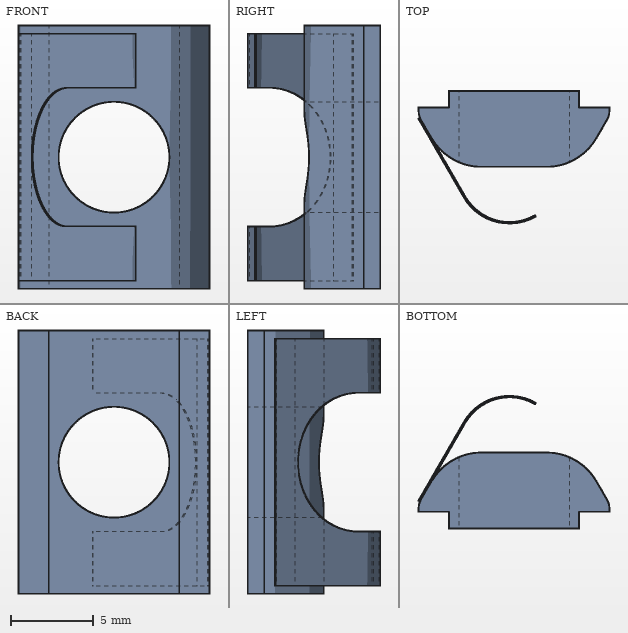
import cadquery as cq
import math

length = 16.0
width = 11.6
body_depth = 4.62
neck_width = 7.9
neck_depth = 1.0
flank_start = 1.5
side_radius = 1.0
nose_radius = 3.5
hole_diameter = 6.72

spring_height = 15.0
spring_thickness = 0.1
bend_radius = 3.2
total_depth = 8.06
cutout_radius = 4.2
cutout_reach = 5.0

flank_angle = math.radians(30)
flank_sin = math.sin(flank_angle)
flank_cos = math.cos(flank_angle)
flank_tan = math.tan(flank_angle)
half_width = width / 2


def make_body():
    nose_half = half_width - (body_depth - flank_start) * flank_tan
    profile = (
        cq.Workplane("XY")
        .moveTo(-half_width, -neck_depth)
        .lineTo(-half_width, -flank_start)
        .lineTo(-nose_half, -body_depth)
        .lineTo(nose_half, -body_depth)
        .lineTo(half_width, -flank_start)
        .lineTo(half_width, -neck_depth)
        .close()
        .extrude(length)
    )
    profile = profile.faces("<Y").edges("|Z").fillet(nose_radius)
    corner_size = 0.16
    for side in (-1, 1):
        near_corner = cq.selectors.BoxSelector(
            (side * half_width - corner_size, -flank_start - corner_size, 0),
            (side * half_width + corner_size, -flank_start + corner_size, length),
        )
        profile = profile.edges("|Z").edges(near_corner).fillet(side_radius)
    neck = cq.Workplane("XY").box(neck_width, neck_depth, length, centered=(True, False, False))
    return profile.union(neck.translate((0, -neck_depth, 0)))


def make_spring():
    start_x = -half_width
    start_y = -flank_start - spring_thickness / flank_sin
    bend_y = -total_depth + bend_radius
    tangent_y = bend_y - bend_radius * flank_sin
    tangent_x = start_x + (start_y - tangent_y) * flank_tan
    bend_x = tangent_x + bend_radius * flank_cos

    def on_bend(radius, angle):
        return (bend_x + radius * math.cos(angle), bend_y + radius * math.sin(angle))

    bend_start = math.pi + flank_angle
    bend_end = bend_start + math.pi / 2
    bend_middle = (bend_start + bend_end) / 2
    inner_radius = bend_radius - spring_thickness
    strip = (
        cq.Workplane("XY", origin=(0, 0, (length - spring_height) / 2))
        .moveTo(start_x, start_y)
        .lineTo(tangent_x, tangent_y)
        .threePointArc(on_bend(bend_radius, bend_middle), on_bend(bend_radius, bend_end))
        .lineTo(*on_bend(inner_radius, bend_end))
        .threePointArc(on_bend(inner_radius, bend_middle), on_bend(inner_radius, bend_start))
        .lineTo(start_x + spring_thickness * flank_cos, start_y + spring_thickness * flank_sin)
        .close()
        .extrude(spring_height)
    )

    center_x = -cutout_reach + cutout_radius * flank_sin
    center_y = start_y - (center_x - start_x) / flank_tan
    leaf_plane = cq.Plane(
        origin=(center_x, center_y, length / 2),
        xDir=(flank_sin, -flank_cos, 0),
        normal=(flank_cos, flank_sin, 0),
    )
    round_end = cq.Workplane(leaf_plane).circle(cutout_radius).extrude(total_depth, both=True)
    open_end = (
        cq.Workplane(leaf_plane)
        .rect(total_depth, 2 * cutout_radius)
        .extrude(total_depth, both=True)
        .translate(leaf_plane.xDir * (total_depth / 2))
    )
    return strip.cut(round_end).cut(open_end)


hole = (
    cq.Workplane("XZ", origin=(0, 0, length / 2))
    .circle(hole_diameter / 2)
    .extrude(body_depth)
)

result = make_body().cut(hole).union(make_spring())